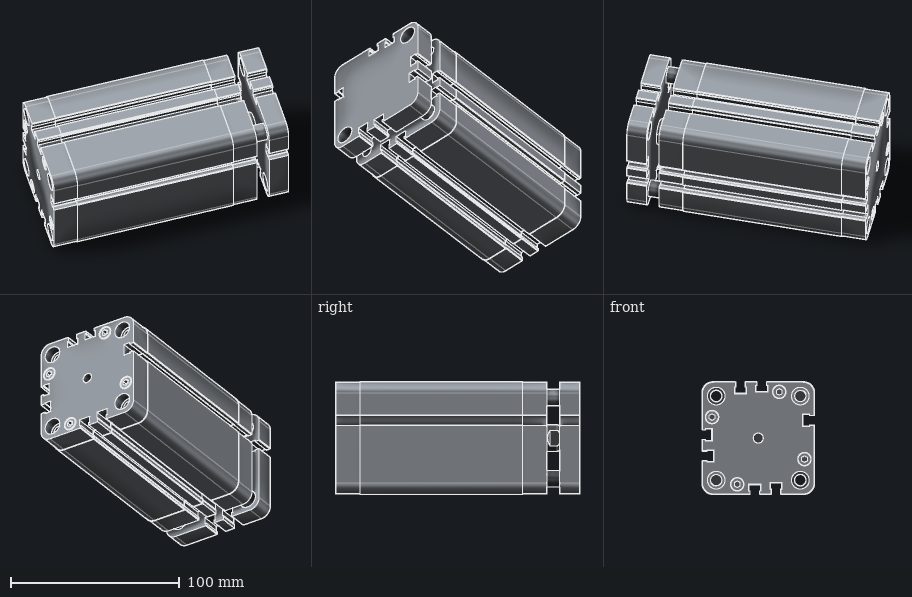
import cadquery as cq
import math


total_length = 145.0
cover_length = 14.5
plate_thickness = 12.0
plate_gap = 7.5
plate_start = total_length - plate_thickness
rear_cover_end = plate_start - plate_gap
rear_cover_start = rear_cover_end - cover_length

barrel_side = 67.0
barrel_half = barrel_side / 2
cover_inset = 0.36
barrel_corner_radius = 6.8

slot_opening = 5.5
slot_chamfer = 0.36
deep_slot_offset = 10.6
deep_lip_height = 30.3
deep_floor_height = 26.7
shallow_slot_offset = 2.0
shallow_lip_height = 31.3
shallow_floor_height = 27.7
slot_cavity = 6.7
cover_cavity_extra = 0.3
cover_floor_extra = 0.5

corner_hole_place = 25.0
corner_hole_diameter = 6.7
counterbore_diameter = 10.5
counterbore_depth = 6.7
plate_hole_diameter = 11.0

screw_far = 27.4
screw_near = 12.5
screw_pocket_diameter = 8.0
screw_head_diameter = 7.5
screw_ring_depth = 0.7
socket_corner_diameter = 3.9
socket_depth = 3.0

port_diameter = 6.0
port_depth = 8.7

rod_diameter = 16.0
rod_flats = 13.0
flat_runout = (rod_diameter - rod_flats) / 2
flat_start = 0.5
rod_tip_length = 1.7
rod_tip_radius = 2.0
pin_diameter = 10.0
pin_place = 24.0

through_margin = 1.5

TOP, LEFT, BOTTOM, RIGHT = 0, 90, 180, 270


def section_at(y):
    """XZ sketch plane at the given Y; extrusion runs toward +Y and local x is -X."""
    return cq.Workplane(cq.Plane(origin=(0, y, 0), xDir=(-1, 0, 0), normal=(0, 1, 0)))


def cylinder(x, z, diameter, start, length):
    return section_at(start).center(-x, z).circle(diameter / 2).extrude(length)


def turn(shape, angle):
    """Turn about the Y axis so that +Z moves toward -X for positive angles."""
    return shape.rotate((0, 0, 0), (0, 1, 0), -angle)


def t_slot(centre, lip_height, floor_height, cavity, outer_half, relieved, start, length):
    """T-slot in the top face; a relieved slot has its +X lip cut back to a plain corner.

    The narrow mouth spans lip_height to outer_half; the wider cavity goes down to floor_height.
    """
    half_opening = slot_opening / 2
    half_rim = half_opening + slot_chamfer
    half_cavity = cavity / 2
    inner_lip = half_rim if relieved else half_opening
    above = outer_half + through_margin
    chamfer_end = outer_half - slot_chamfer
    outline = [
        (-half_rim, above),
        (-half_rim, outer_half),
        (-half_opening, chamfer_end),
        (-half_opening, lip_height),
        (-half_cavity, lip_height),
        (-half_cavity, floor_height),
        (half_cavity, floor_height),
        (half_cavity, lip_height),
        (inner_lip, lip_height),
        (inner_lip, chamfer_end),
        (half_rim, outer_half),
        (half_rim, above),
    ]
    if relieved:
        outline.remove((half_rim, chamfer_end))
    points = [(-(centre + x), z) for x, z in outline]
    return section_at(start).polyline(points).close().extrude(length)


def profile_block(start, length, inset):
    """Rounded square length of the slotted profile; inset makes it a cover or the plate."""
    is_cover = inset > 0
    outer_half = barrel_half - inset
    block = section_at(start).rect(2 * outer_half, 2 * outer_half).extrude(length)
    block = block.edges("|Y").fillet(barrel_corner_radius - inset)
    cavity = slot_cavity + (2 * cover_cavity_extra if is_cover else 0)
    floor_drop = cover_floor_extra if is_cover else 0
    for face in (TOP, LEFT, BOTTOM, RIGHT):
        relieved = is_cover and face != TOP
        deep = t_slot(-deep_slot_offset, deep_lip_height, deep_floor_height - floor_drop,
                      cavity, outer_half, relieved, start, length)
        block = block.cut(turn(deep, face))
        if face != RIGHT:
            shallow = t_slot(shallow_slot_offset, shallow_lip_height, shallow_floor_height - floor_drop,
                             cavity, outer_half, False, start, length)
            block = block.cut(turn(shallow, face))
    return block


def screw_cut(x, z):
    """Thin ring round a screw head, and its hexagon socket with two corners along Z."""
    ring = (section_at(0).center(-x, z).circle(screw_pocket_diameter / 2)
            .circle(screw_head_diameter / 2).extrude(screw_ring_depth))
    socket = (section_at(0).center(-x, z).transformed(rotate=(0, 0, 30))
              .polygon(6, socket_corner_diameter).extrude(socket_depth))
    return ring.union(socket)


def piston_rod():
    """Rod between rear cover and plate, rounded at the plate, with two flats that run out at 45 degrees."""
    radius = rod_diameter / 2
    tip_start = plate_start - rod_tip_length
    tip_angle = math.asin(rod_tip_length / rod_tip_radius)
    arc_centre = radius - rod_tip_radius
    tip_middle = (arc_centre + rod_tip_radius * math.cos(tip_angle / 2),
                  tip_start + rod_tip_radius * math.sin(tip_angle / 2))
    tip_end = (arc_centre + rod_tip_radius * math.cos(tip_angle), plate_start)
    rod = (cq.Workplane("XY").moveTo(0, rear_cover_end).lineTo(radius, rear_cover_end)
           .lineTo(radius, tip_start).threePointArc(tip_middle, tip_end)
           .lineTo(0, plate_start).close().revolve(360, (0, 0, 0), (0, 1, 0)))
    runout_start = rear_cover_end + flat_start
    flat_profile = [
        (radius, runout_start),
        (rod_flats / 2, runout_start + flat_runout),
        (rod_flats / 2, plate_start),
        (radius, plate_start),
    ]
    flat = cq.Workplane("XY").polyline(flat_profile).close().extrude(radius, both=True)
    return rod.cut(flat).cut(flat.mirror("YZ"))


body = profile_block(cover_length, rear_cover_start - cover_length, 0)
body = body.union(profile_block(0, cover_length, cover_inset))
body = body.union(profile_block(rear_cover_start, cover_length, cover_inset))

for x_side in (-1, 1):
    for z_side in (-1, 1):
        x = x_side * corner_hole_place
        z = z_side * corner_hole_place
        body = body.cut(cylinder(x, z, corner_hole_diameter, 0, rear_cover_end))
        body = body.cut(cylinder(x, z, counterbore_diameter, 0, counterbore_depth))

screw_places = [
    (screw_near, screw_far),
    (-screw_far, screw_near),
    (-screw_near, -screw_far),
    (screw_far, -screw_near),
]
for x, z in screw_places:
    body = body.cut(screw_cut(x, z))
body = body.cut(cylinder(0, 0, port_diameter, 0, port_depth))

plate = profile_block(plate_start, plate_thickness, cover_inset)
for side in (-1, 1):
    plate = plate.cut(cylinder(side * corner_hole_place, -side * corner_hole_place,
                               plate_hole_diameter, plate_start, plate_thickness))

result = body.union(plate).union(piston_rod())
for side in (-1, 1):
    result = result.union(cylinder(side * pin_place, side * pin_place, pin_diameter,
                                   rear_cover_end, plate_gap))